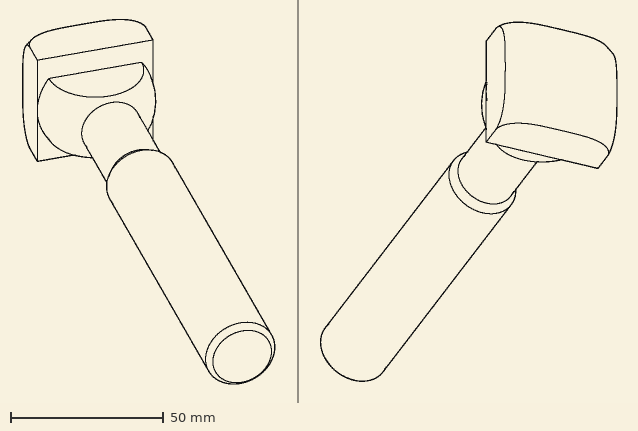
import cadquery as cq
import math

length = 176.0
head_width = 40.0
head_thickness = 16.0
thread_diameter = 24.0
neck_diameter = 20.2
neck_end = 62.8
shoulder_angle = 30.0
tip_chamfer_length = 2.1

head_radius = head_width / 2
corner_radius = head_radius * math.sqrt(2)
corner_round = corner_radius - head_radius
thread_radius = thread_diameter / 2
neck_radius = neck_diameter / 2
shoulder_length = (thread_radius - neck_radius) / math.tan(math.radians(shoulder_angle))


def make_head():
    """Square head whose front corners are rounded by a turned profile."""
    block = cq.Workplane("YZ").rect(head_width, head_width).extrude(head_thickness)
    envelope = (
        cq.Workplane("XY")
        .moveTo(0, 0)
        .lineTo(0, head_radius)
        .radiusArc((corner_round, corner_radius), corner_round)
        .lineTo(head_thickness, corner_radius)
        .lineTo(head_thickness, 0)
        .close()
        .revolve(360, (0, 0, 0), (1, 0, 0))
    )
    return block.intersect(envelope)


def make_collar():
    """Half ball behind the head, cut flat above and below to the thread diameter."""
    ball = cq.Workplane("XY").sphere(head_radius)
    slab = cq.Workplane("XY").box(
        head_radius, head_width, thread_diameter, centered=(False, True, True)
    )
    return ball.intersect(slab).translate((head_thickness, 0, 0))


def make_shank():
    """Neck, conical shoulder and threaded length with a chamfered tip."""
    return (
        cq.Workplane("XY")
        .moveTo(head_thickness, 0)
        .lineTo(head_thickness, neck_radius)
        .lineTo(neck_end, neck_radius)
        .lineTo(neck_end + shoulder_length, thread_radius)
        .lineTo(length - tip_chamfer_length, thread_radius)
        .lineTo(length, neck_radius)
        .lineTo(length, 0)
        .close()
        .revolve(360, (0, 0, 0), (1, 0, 0))
    )


result = make_head().union(make_collar()).union(make_shank())